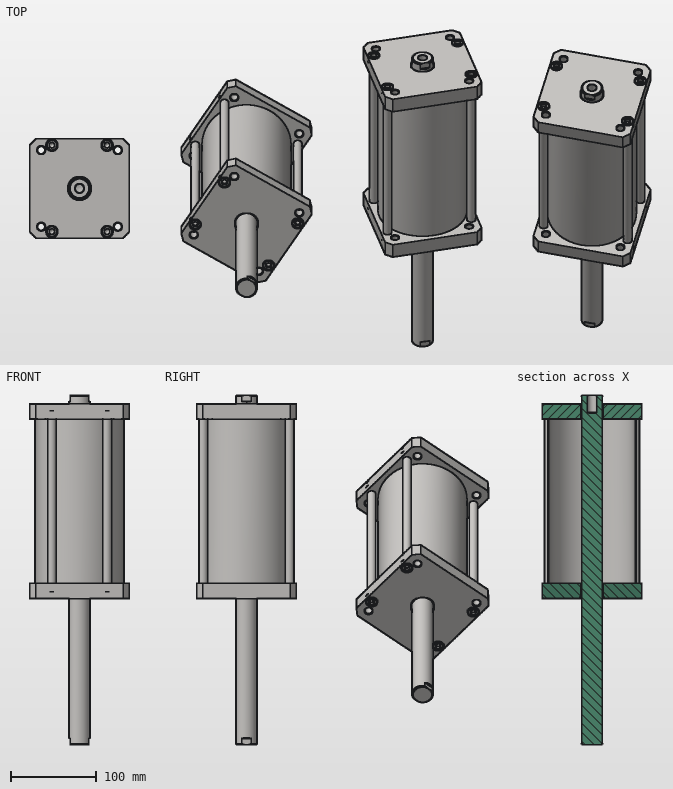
import cadquery as cq
import math

total_length = 407.0
rod_below = 170.0
rod_above = 10.0
plate_thickness = 18.0
stack_height = total_length - rod_below - rod_above
tube_length = stack_height - 2 * plate_thickness
middle_z = stack_height / 2
rod_top = stack_height + rod_above

plate_side = 116.0
corner_chamfer = 7.5
mount_hole_diameter = 8.5
mount_hole_chamfer = 1.0
mount_hole_pitch = 89.0
rod_clearance_diameter = 25.5
rod_recess_diameter = 27.5
rod_recess_depth = 1.5

tube_outer_diameter = 103.8
tube_bore_diameter = 100.0

tie_rod_diameter = 10.0
tie_rod_pitch_x = 64.5
tie_rod_pitch_y = 100.5
counterbore_diameter = 14.0
counterbore_depth = 8.0
head_diameter = 13.0
head_chamfer = 1.0
head_hole_diameter = 6.5
head_hole_depth = 4.0
head_hole_tip_angle = 118.0

rod_diameter = 25.0
rod_chamfer = 1.35
flat_span = 22.0
flat_height = 8.0
flat_runout_height = 1.0
rod_hole_diameter = 10.0
rod_hole_chamfer = 0.5
rod_hole_depth = 20.5
rod_hole_tip_angle = 160.0

mount_hole_points = [
    (sx * mount_hole_pitch / 2, sy * mount_hole_pitch / 2) for sx in (-1, 1) for sy in (-1, 1)
]
tie_rod_points = [
    (sx * tie_rod_pitch_x / 2, sy * tie_rod_pitch_y / 2) for sx in (-1, 1) for sy in (-1, 1)
]


def mirrored_to_other_end(shape):
    """Return the shape mirrored about the middle of the plate stack."""
    return shape.mirror("XY", (0, 0, middle_z))


def chamfered_edge(diameter, chamfer, top_z):
    """Return the cutter of a 45 degree chamfer around a hole that opens upward at top_z."""
    radius = diameter / 2
    cone = cq.Solid.makeCone(radius, radius + chamfer, chamfer, cq.Vector(0, 0, top_z - chamfer))
    return cq.Workplane(cone)


def blind_hole(diameter, depth, tip_angle, top_z):
    """Return the cutter of a hole that goes down from top_z and ends in a cone of that full angle."""
    radius = diameter / 2
    tip_length = radius / math.tan(math.radians(tip_angle / 2))
    profile = [
        (0, top_z),
        (radius, top_z),
        (radius, top_z - depth),
        (0, top_z - depth - tip_length),
    ]
    return cq.Workplane("XZ").polyline(profile).close().revolve(360, (0, 0, 0), (0, 1, 0))


def make_upper_plate():
    plate = (
        cq.Workplane("XY", origin=(0, 0, stack_height - plate_thickness))
        .rect(plate_side, plate_side)
        .extrude(plate_thickness)
        .edges("|Z")
        .chamfer(corner_chamfer)
    )
    plate = (
        plate.faces(">Z")
        .workplane()
        .cboreHole(rod_clearance_diameter, rod_recess_diameter, rod_recess_depth)
    )
    plate = plate.faces(">Z").workplane().pushPoints(mount_hole_points).hole(mount_hole_diameter)
    mouth = chamfered_edge(mount_hole_diameter, mount_hole_chamfer, stack_height)
    plate_middle = (0, 0, stack_height - plate_thickness / 2)
    for x, y in mount_hole_points:
        plate = plate.cut(mouth.translate((x, y, 0)))
        plate = plate.cut(mouth.mirror("XY", plate_middle).translate((x, y, 0)))
    return (
        plate.faces(">Z")
        .workplane()
        .pushPoints(tie_rod_points)
        .cboreHole(tie_rod_diameter, counterbore_diameter, counterbore_depth)
    )


def make_tube():
    return (
        cq.Workplane("XY", origin=(0, 0, plate_thickness))
        .circle(tube_outer_diameter / 2)
        .circle(tube_bore_diameter / 2)
        .extrude(tube_length)
    )


def make_tie_rod(x, y):
    rod = cq.Workplane("XY").circle(tie_rod_diameter / 2).extrude(stack_height)
    head = (
        cq.Workplane("XY", origin=(0, 0, stack_height - counterbore_depth))
        .circle(head_diameter / 2)
        .extrude(counterbore_depth)
        .faces(">Z")
        .chamfer(head_chamfer)
    )
    hole = blind_hole(head_hole_diameter, head_hole_depth, head_hole_tip_angle, stack_height)
    rod = rod.union(head).union(mirrored_to_other_end(head))
    return rod.cut(hole).cut(mirrored_to_other_end(hole)).translate((x, y, 0))


def wrench_flat():
    """Return the cutter of the flat on the +X side of the upper rod end."""
    flat_x = flat_span / 2
    surface_x = rod_diameter / 2
    profile = [
        (flat_x, rod_top),
        (surface_x, rod_top),
        (surface_x, rod_top - flat_height),
        (flat_x, rod_top - flat_height + flat_runout_height),
    ]
    return cq.Workplane("XZ").polyline(profile).close().extrude(rod_diameter / 2, both=True)


def make_piston_rod():
    rod = (
        cq.Workplane("XY", origin=(0, 0, -rod_below))
        .circle(rod_diameter / 2)
        .extrude(total_length)
        .faces("<Z or >Z")
        .chamfer(rod_chamfer)
    )
    rod_middle = (0, 0, rod_top - total_length / 2)
    for turn in (0, 180):
        flat = wrench_flat().rotate((0, 0, 0), (0, 0, 1), turn)
        rod = rod.cut(flat).cut(flat.mirror("XY", rod_middle))
    rod = rod.cut(blind_hole(rod_hole_diameter, rod_hole_depth, rod_hole_tip_angle, rod_top))
    return rod.cut(chamfered_edge(rod_hole_diameter, rod_hole_chamfer, rod_top))


upper_plate = make_upper_plate()
lower_plate = mirrored_to_other_end(upper_plate)
tube = make_tube()
piston_rod = make_piston_rod()
tie_rods = [make_tie_rod(x, y) for x, y in tie_rod_points]

result = cq.Compound.makeCompound(
    [
        upper_plate.val(),
        lower_plate.val(),
        tube.val(),
        piston_rod.val(),
        *[tie_rod.val() for tie_rod in tie_rods],
    ]
)